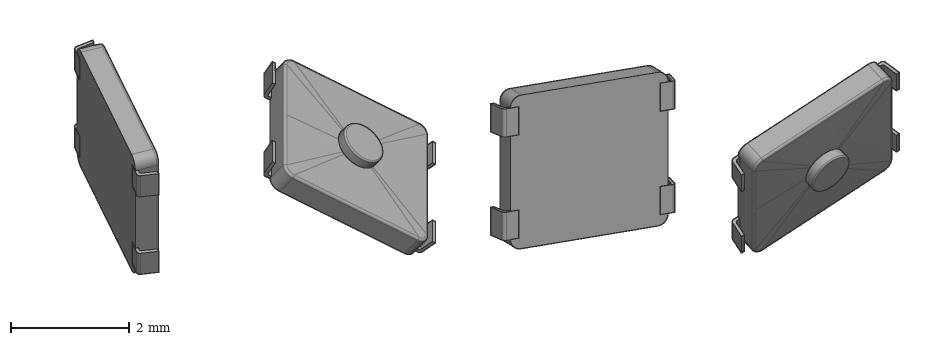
import cadquery as cq
import math

overall_width = 3.4
overall_depth = 0.66

body_width = 3.0
body_height = 2.75
corner_radius = 0.2
body_front = 0.01
body_back = 0.442
rim_radius = 0.048

crown_back = 0.47
button_radius = 0.4
button_edge_radius = 0.027

lead_thickness = 0.06
lead_width = 0.503
lead_center_z = 0.925
lead_inner_x = 1.343
lead_tip_y = 0.36
lead_lean = 10.0
lead_outer_bend = 0.06
lead_inner_bend = 0.03


def xz_plane(y):
    """Sketch plane at depth y, facing the back (+Y)."""
    return cq.Plane(origin=(0, y, 0), xDir=(1, 0, 0), normal=(0, 1, 0))


def rounded_rectangle(width, height, radius):
    return cq.Sketch().rect(width, height).vertices().fillet(radius)


def make_body():
    outline = rounded_rectangle(body_width, body_height, corner_radius)
    body = cq.Workplane(xz_plane(body_front)).placeSketch(outline).extrude(body_back - body_front)
    return body.faces(">Y").edges().fillet(rim_radius)


def make_crown():
    base = rounded_rectangle(
        body_width - 2 * rim_radius, body_height - 2 * rim_radius, corner_radius - rim_radius
    )
    top = cq.Sketch().circle(button_radius)
    rise = crown_back - body_back
    return cq.Workplane(xz_plane(body_back)).placeSketch(
        base, top.moved(cq.Location(cq.Vector(0, 0, rise)))
    ).loft()


def make_button():
    button = cq.Workplane(xz_plane(body_back)).circle(button_radius).extrude(overall_depth - body_back)
    return button.faces(">Y").edges().fillet(button_edge_radius)


def make_lead():
    """Lead on the +X side, centred on Z = 0."""
    slope = math.tan(math.radians(lead_lean))
    wall_x = lead_thickness / math.cos(math.radians(lead_lean))
    tip_x = overall_width / 2
    outer_corner_x = tip_x - lead_tip_y * slope
    inner_corner_x = outer_corner_x + lead_thickness * slope - wall_x
    lead = (
        cq.Workplane("XY")
        .moveTo(lead_inner_x, 0)
        .lineTo(outer_corner_x, 0)
        .lineTo(tip_x, lead_tip_y)
        .lineTo(tip_x - wall_x, lead_tip_y)
        .lineTo(inner_corner_x, lead_thickness)
        .lineTo(lead_inner_x, lead_thickness)
        .close()
        .extrude(lead_width / 2, both=True)
    )
    outer_corner = cq.selectors.NearestToPointSelector((outer_corner_x, 0, 0))
    inner_corner = cq.selectors.NearestToPointSelector((inner_corner_x, lead_thickness, 0))
    lead = lead.edges("|Z").edges(outer_corner).fillet(lead_outer_bend)
    return lead.edges("|Z").edges(inner_corner).fillet(lead_inner_bend)


result = make_body().union(make_crown()).union(make_button())
right_lead = make_lead()
left_lead = right_lead.mirror("YZ")
for z in (-lead_center_z, lead_center_z):
    for lead in (left_lead, right_lead):
        result = result.union(lead.translate((0, 0, z)))